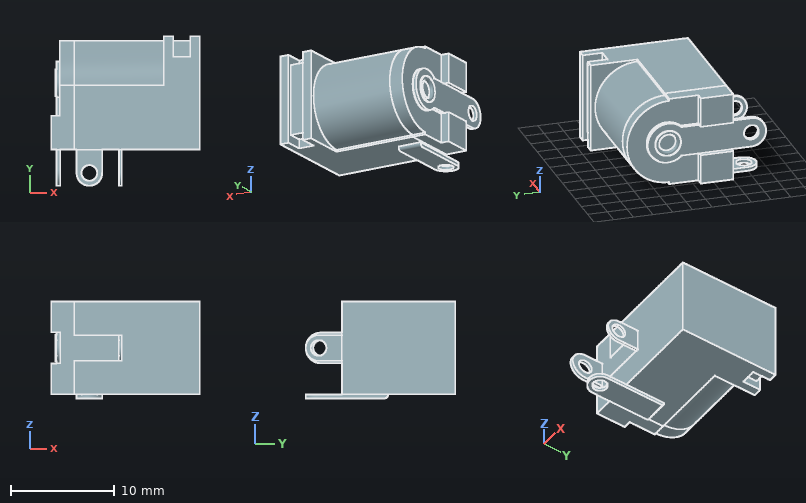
import cadquery as cq


length = 14.4
half_height = 4.5
front_y = -6.5
flange_y = 4.5
lug_tip_y = -10.0

barrel_radius = 4.3
barrel_centre_y = -0.24
barrel_edge_y = barrel_centre_y + barrel_radius

flange_x = 10.9
slot_start_x = 11.83
slot_end_x = 13.47
slot_floor_y = 2.5
contact_half_height = 3.58

cover_face_x = 0.83
cover_end_x = 2.25
ear_inner_y = -3.2
tongue_end_x = 6.56

hole_radius = 0.75
rear_lug_half_width = 1.5
rear_lug_start_x = 0.5
rear_lug_thickness = 0.4
rear_lug_end_x = rear_lug_start_x + rear_lug_thickness
rear_disc_radius = 2.05
narrow_lug_half_width = 1.25
side_lug_thickness = 0.29
side_lug_end_x = tongue_end_x + side_lug_thickness
bottom_lug_centre_x = 3.7
bottom_lug_thickness = 0.4
bottom_lug_back_y = -2.0
bottom_lug_edge_radius = 0.39

pin_rear_x = 0.38
pin_radius = 1.3
pin_bore_radius = 0.87
pin_bore_depth = 0.4
pin_mouth_fillet = 0.18


def box(x_start, x_end, y_start, y_end, z_start, z_end):
    """Block between two corners."""
    size = (x_end - x_start, y_end - y_start, z_end - z_start)
    return cq.Workplane("XY").box(*size, centered=False).translate((x_start, y_start, z_start))


def cylinder_x(radius, x_start, x_end, centre_y=0):
    """Cylinder along X at mid height."""
    return cq.Workplane("YZ", origin=(x_start, centre_y, 0)).circle(radius).extrude(x_end - x_start)


def body_section(x_start, x_end):
    """Stretch of the jack: a square front block with a slightly lower rounded back."""
    block = box(x_start, x_end, front_y, barrel_centre_y, -half_height, half_height)
    return block.union(cylinder_x(barrel_radius, x_start, x_end, barrel_centre_y))


def flat_lug(half_width, back_y, thickness):
    """Horizontal lug from back_y to a round, drilled tip, with its underside at Z = 0."""
    tip_centre_y = lug_tip_y + half_width
    shank = box(-half_width, half_width, tip_centre_y, back_y, 0, thickness)
    tip_centre = cq.Workplane("XY").center(0, tip_centre_y)
    round_end = tip_centre.circle(half_width).extrude(thickness)
    hole = tip_centre.circle(hole_radius).extrude(thickness)
    return shank.union(round_end).cut(hole)


def standing_lug(half_width, back_y, thickness, start_x):
    """The same lug turned on edge, its thickness running along X from start_x."""
    lug = flat_lug(half_width, back_y, thickness).rotate((0, 0, 0), (0, 1, 0), 90)
    return lug.translate((start_x, 0, 0))


rear_lug_disc = cylinder_x(rear_disc_radius, rear_lug_start_x, rear_lug_end_x)
rear_lug_arm = standing_lug(rear_lug_half_width, 0, rear_lug_thickness, rear_lug_start_x)
rear_lug = rear_lug_arm.union(rear_lug_disc).cut(cylinder_x(pin_radius, pin_rear_x, cover_end_x))

side_lug = standing_lug(narrow_lug_half_width, ear_inner_y, side_lug_thickness, tongue_end_x)

bottom_lug = flat_lug(narrow_lug_half_width, bottom_lug_back_y, bottom_lug_thickness)
bottom_lug = bottom_lug.edges(">Y and <Z").fillet(bottom_lug_edge_radius)
bottom_lug = bottom_lug.translate((bottom_lug_centre_x, 0, -half_height - bottom_lug_thickness))

pin = cylinder_x(pin_radius, pin_rear_x, cover_end_x)
pin = pin.cut(cylinder_x(pin_bore_radius, pin_rear_x, pin_rear_x + pin_bore_depth))
pin = pin.faces("<X").edges(cq.selectors.RadiusNthSelector(0)).fillet(pin_mouth_fillet)

ears = box(0, cover_face_x, front_y, ear_inner_y, -half_height, half_height)
ear_gap = box(0, rear_lug_end_x, front_y, ear_inner_y, -rear_lug_half_width, rear_lug_half_width)
tongue = box(cover_end_x, tongue_end_x, front_y, ear_inner_y, -narrow_lug_half_width, narrow_lug_half_width)
cover = body_section(cover_face_x, cover_end_x).union(ears).union(tongue)
cover = cover.cut(ear_gap).cut(rear_lug).cut(cylinder_x(pin_radius, pin_rear_x, cover_end_x))

contact = box(slot_start_x, slot_end_x, slot_floor_y, barrel_edge_y, -contact_half_height, contact_half_height)

flange = box(flange_x, length, front_y, flange_y, -half_height, half_height)
flange_slot = box(slot_start_x, slot_end_x, slot_floor_y, flange_y, -half_height, half_height)
tongue_recess = box(
    cover_end_x, side_lug_end_x, front_y, ear_inner_y, -narrow_lug_half_width, narrow_lug_half_width
)
housing = body_section(cover_end_x, flange_x).union(flange).cut(flange_slot).cut(tongue_recess)

result = cq.Compound.makeCompound([
    housing.val(),
    cover.val(),
    contact.val(),
    pin.val(),
    rear_lug.val(),
    side_lug.val(),
    bottom_lug.val(),
])